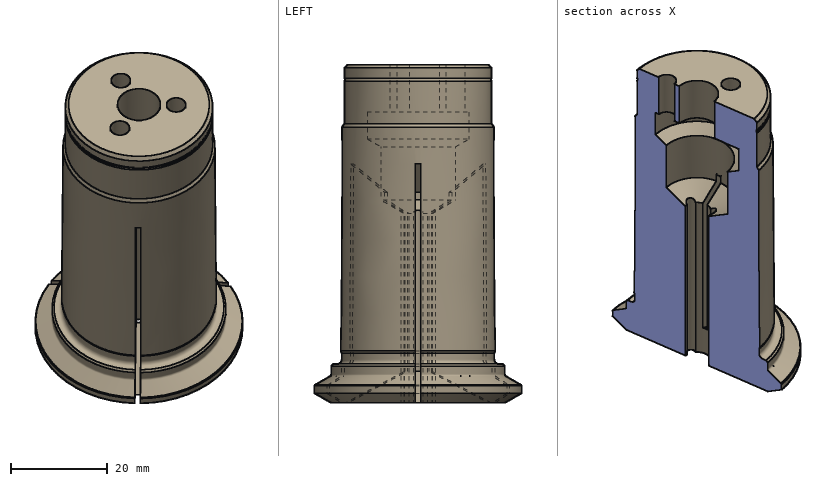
import cadquery as cq
import math

height = 70.0
cone_angle = 30.0

flange_radius = 21.5
flange_foot_radius = 18.0
flange_band_top = 3.65
flange_edge_break = 0.15

collar_radius = flange_foot_radius
collar_top = 8.05
collar_chamfer = 0.4
body_root_fillet = 0.9
collar_root_fillet = 0.5

relief_radius = 15.8
relief_top = 10.3
body_foot = 10.8
body_foot_radius = 16.0
body_shoulder = 57.05
body_shoulder_radius = 15.75

head_radius = 15.25
head_foot = 57.75
groove_foot = 66.6
groove_top = 67.1
groove_depth = 0.2
head_chamfer = 0.7

bore_radius = 2.95
middle_bore_diameter = 15.5
middle_bore_foot = 42.0
chamber_diameter = 21.0
chamber_foot = 54.6
chamber_top = 60.2
top_hole_diameter = 8.9

bore_groove_radius = 1.0
bore_groove_reach = 4.0
bore_groove_angle = 0

cap_hole_diameter = 4.0
cap_hole_circle_radius = 7.7
cap_hole_angle = 30

slot_width = 1.1
slot_angle = 180
slot_overrun = 0.7
slot_floor_outer_radius = 17.2
slot_floor_inner_height = 6.6
slot_top = 49.6
slot_inner_top = 43.6

repeat_count = 3
repeat_angle = 360 / repeat_count
cone_slope = math.tan(math.radians(cone_angle))


def revolve_profile(points):
    """Turn an (r, z) outline around the Z axis."""
    return cq.Workplane("XZ").polyline(points).close().revolve(360, (0, 0), (0, 1))


def polar_copies(shape, first_angle):
    """Copies of a shape spread evenly around the Z axis."""
    copies = cq.Workplane()
    for index in range(repeat_count):
        turned = shape.rotate((0, 0, 0), (0, 0, 1), first_angle + index * repeat_angle)
        copies = copies.add(turned)
    return copies.combine()


def make_outside():
    flange_band_foot = (flange_radius - flange_foot_radius) * cone_slope
    flange_cone_top = flange_band_top + (flange_radius - collar_radius) * cone_slope
    broken_edge_radius = flange_radius - flange_edge_break
    broken_edge_height = flange_band_top + flange_edge_break * cone_slope
    fillet_top = collar_top + body_root_fillet
    fillet_outer_radius = relief_radius + body_root_fillet
    fillet_diagonal = body_root_fillet * (1 - math.sqrt(0.5))
    groove_radius = head_radius - groove_depth

    half_turn = math.radians((90 - cone_angle) / 2)
    root_setback = collar_root_fillet * math.tan(half_turn)
    root_center_radius = collar_radius + collar_root_fillet
    root_top = flange_cone_top + root_setback
    root_middle = (
        root_center_radius - collar_root_fillet * math.cos(half_turn),
        root_top - collar_root_fillet * math.sin(half_turn),
    )
    root_foot = (
        collar_radius + root_setback * math.cos(math.radians(cone_angle)),
        flange_cone_top - root_setback * math.sin(math.radians(cone_angle)),
    )

    outline = (
        cq.Workplane("XZ")
        .lineTo(flange_foot_radius, 0)
        .lineTo(flange_radius, flange_band_foot)
        .lineTo(flange_radius, flange_band_top - flange_edge_break)
        .lineTo(broken_edge_radius, broken_edge_height)
        .lineTo(*root_foot)
        .threePointArc(root_middle, (collar_radius, root_top))
        .lineTo(collar_radius, collar_top - collar_chamfer)
        .lineTo(collar_radius - collar_chamfer, collar_top)
        .lineTo(fillet_outer_radius, collar_top)
        .threePointArc(
            (relief_radius + fillet_diagonal, collar_top + fillet_diagonal),
            (relief_radius, fillet_top),
        )
        .lineTo(relief_radius, relief_top)
        .lineTo(body_foot_radius, body_foot)
        .lineTo(body_shoulder_radius, body_shoulder)
        .lineTo(head_radius, head_foot)
        .lineTo(head_radius, groove_foot)
        .lineTo(groove_radius, groove_top)
        .lineTo(head_radius, groove_top)
        .lineTo(head_radius, height - head_chamfer)
        .lineTo(head_radius - head_chamfer, height)
        .lineTo(0, height)
        .close()
    )
    return outline.revolve(360, (0, 0), (0, 1))


def make_bore():
    middle_radius = middle_bore_diameter / 2
    chamber_radius = chamber_diameter / 2
    top_hole_radius = top_hole_diameter / 2
    middle_floor_inner = middle_bore_foot - (middle_radius - bore_radius) * cone_slope
    chamber_floor_inner = chamber_foot - (chamber_radius - middle_radius) * cone_slope
    return revolve_profile([
        (0, 0),
        (bore_radius, 0),
        (bore_radius, middle_floor_inner),
        (middle_radius, middle_bore_foot),
        (middle_radius, chamber_floor_inner),
        (chamber_radius, chamber_foot),
        (chamber_radius, chamber_top),
        (top_hole_radius, chamber_top),
        (top_hole_radius, height),
        (0, height),
    ])


def make_bore_grooves():
    groove = (
        cq.Workplane("XY")
        .center(bore_groove_reach - bore_groove_radius, 0)
        .circle(bore_groove_radius)
        .extrude(middle_bore_foot)
    )
    return polar_copies(groove, bore_groove_angle)


def make_cap_holes():
    hole = (
        cq.Workplane("XY", origin=(0, 0, chamber_top))
        .center(cap_hole_circle_radius, 0)
        .circle(cap_hole_diameter / 2)
        .extrude(height - chamber_top)
    )
    return polar_copies(hole, cap_hole_angle)


def make_slots():
    middle_radius = middle_bore_diameter / 2
    outer_limit = flange_radius + slot_overrun
    ceiling_slope = (slot_top - slot_inner_top) / (body_foot_radius - middle_radius)
    ceiling_at_limit = slot_top + (outer_limit - body_foot_radius) * ceiling_slope
    ceiling_at_bore = slot_inner_top - (middle_radius - bore_radius) * ceiling_slope
    floor_slope = slot_floor_inner_height / (slot_floor_outer_radius - bore_radius)
    slot = (
        cq.Workplane("XZ")
        .polyline([
            (0, slot_floor_inner_height + bore_radius * floor_slope),
            (slot_floor_outer_radius, 0),
            (outer_limit, 0),
            (outer_limit, ceiling_at_limit),
            (bore_radius, ceiling_at_bore),
            (0, ceiling_at_bore),
        ])
        .close()
        .extrude(slot_width / 2, both=True)
    )
    return polar_copies(slot, slot_angle)


result = (
    make_outside()
    .cut(make_bore())
    .cut(make_bore_grooves())
    .cut(make_cap_holes())
    .cut(make_slots())
)